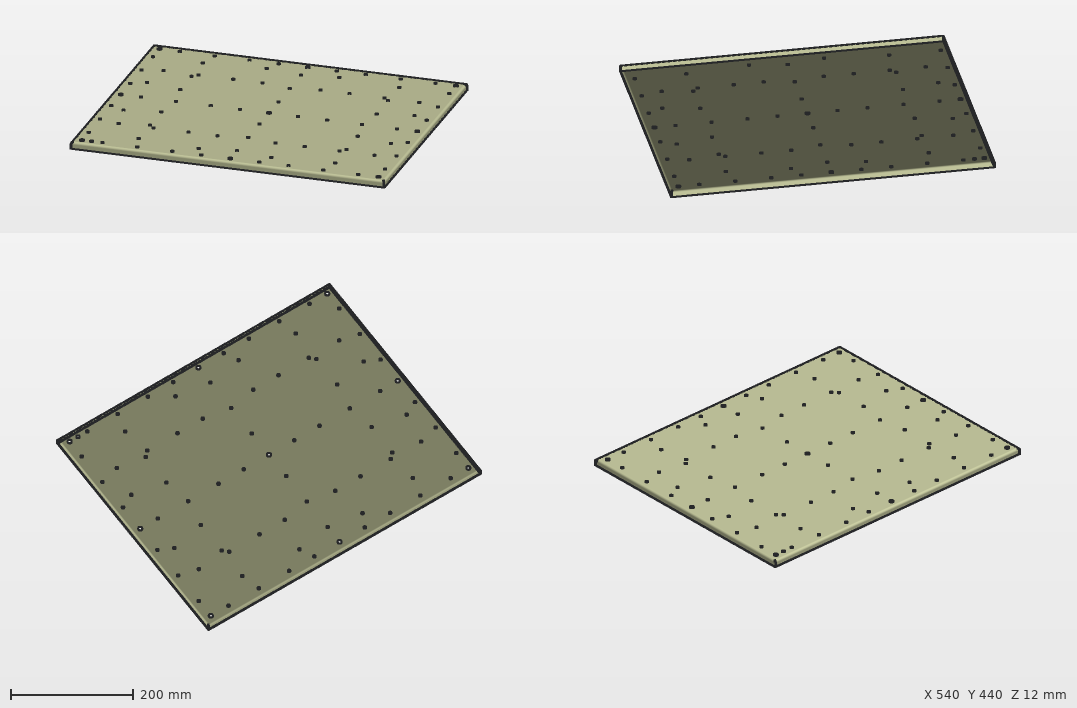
import cadquery as cq

LENGTH = 540.0
WIDTH = 440.0
HEIGHT = 12.0
SHEET = 1.5
OUTER_BEND_RADIUS = 4.0
INNER_BEND_RADIUS = OUTER_BEND_RADIUS - SHEET

SEAM_GAP = 0.5

MOUNT_DIAMETER = 7.0
SMALL_DIAMETER = 4.5
STUD_DIAMETER = 5.5

EDGE_INSET = 15.0
EDGE_X = LENGTH / 2 - EDGE_INSET
EDGE_Y = WIDTH / 2 - EDGE_INSET

ROW_HOLE_X = [50.0, 100.0, 160.0, 220.0]
ROW_Y = [0.0, 119.0, EDGE_Y]

COLUMN_X = [0.0, 169.0, EDGE_X]
COLUMN_HOLE_Y = [50.0, 110.0, 170.0]

PAIR_INSET = 40.0
PAIR_HALF_SPACING = 62.5

STUD_OFFSET = 16.5


def mirrored(xs, ys):
    """Every combination of the given distances, mirrored about both centre lines."""
    signed_xs = sorted({sign * x for x in xs for sign in (-1, 1)})
    signed_ys = sorted({sign * y for y in ys for sign in (-1, 1)})
    return [(x, y) for x in signed_xs for y in signed_ys]


def rounded_block(length, width, height, top_radius):
    """Block standing on Z = 0 with its top edges rounded and its corners square."""
    block = cq.Workplane("XY").box(length, width, height, centered=(True, True, False))
    return block.faces(">Z").edges().fillet(top_radius)


def make_tray():
    outside = rounded_block(LENGTH, WIDTH, HEIGHT, OUTER_BEND_RADIUS)
    inside = rounded_block(
        LENGTH - 2 * SHEET, WIDTH - 2 * SHEET, HEIGHT - SHEET, INNER_BEND_RADIUS
    )
    return outside.cut(inside)


def corner_seams():
    """Slits through the ends of the long flanges and their bends."""
    seam_x = LENGTH / 2 - SHEET - SEAM_GAP / 2
    seam_y = WIDTH / 2 - OUTER_BEND_RADIUS / 2
    return (
        cq.Workplane("XY")
        .pushPoints(mirrored([seam_x], [seam_y]))
        .rect(SEAM_GAP, OUTER_BEND_RADIUS)
        .extrude(HEIGHT)
    )


def drills(points, diameter):
    return cq.Workplane("XY").pushPoints(points).circle(diameter / 2).extrude(HEIGHT)


mount_points = mirrored([0.0, EDGE_X], [0.0, EDGE_Y])
row_points = mirrored(ROW_HOLE_X, ROW_Y)
column_points = mirrored(COLUMN_X, COLUMN_HOLE_Y)
long_side_pairs = mirrored([PAIR_HALF_SPACING], [WIDTH / 2 - PAIR_INSET])
short_side_pairs = mirrored([LENGTH / 2 - PAIR_INSET], [PAIR_HALF_SPACING])
small_points = row_points + column_points + long_side_pairs + short_side_pairs
stud_points = [(-EDGE_X + STUD_OFFSET, -EDGE_Y)]

result = make_tray().cut(corner_seams())
result = result.cut(drills(mount_points, MOUNT_DIAMETER))
result = result.cut(drills(small_points, SMALL_DIAMETER))
result = result.cut(drills(stud_points, STUD_DIAMETER))